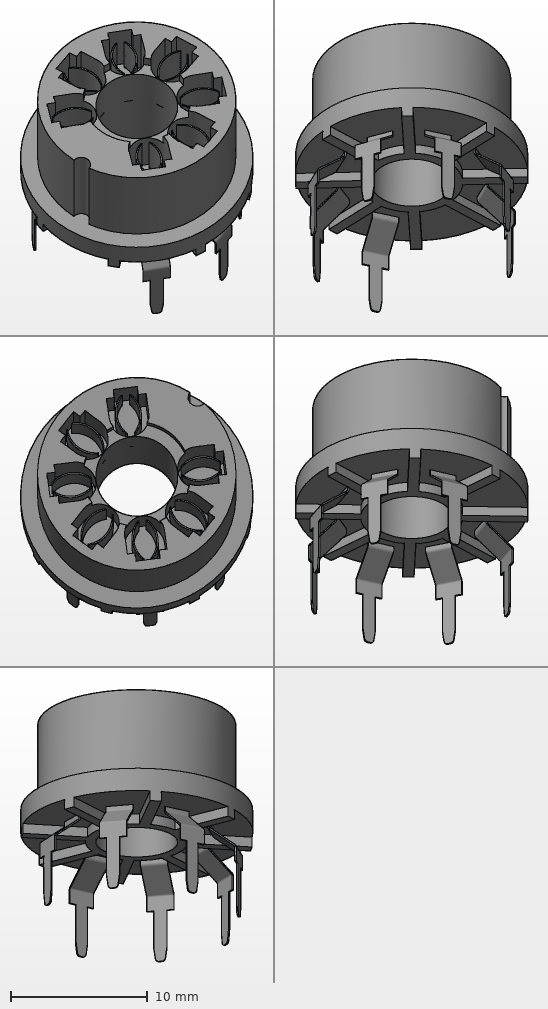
import cadquery as cq
import math


OVERALL_HEIGHT = 15.64
FLANGE_RADIUS = 8.5
FLANGE_HEIGHT = 1.75
BODY_RADIUS = 7.26
BODY_HEIGHT = 6.65
BORE_RADIUS = 3.0
RECESS_RADIUS = 3.93
RECESS_DEPTH = 0.78
KEYWAY_RADIUS = 0.66
TOP_Z = FLANGE_HEIGHT + BODY_HEIGHT

HUB_RADIUS = 3.74
FOOT_HEIGHT = 0.76
TOOTH_WIDTH = 0.83

STATION_COUNT = 8
STATION_PITCH = 360 / STATION_COUNT
STATION_ANGLES = [STATION_PITCH * i for i in range(STATION_COUNT)]
EMPTY_ANGLE = 270
CONTACT_ANGLES = [angle for angle in STATION_ANGLES if angle != EMPTY_ANGLE]

POCKET_DEPTH = 3.93
POCKET_HALF_WIDTH = 1.46
POCKET_ARC_CENTRE = 4.49
POCKET_SHOULDER = 5.9
POCKET_END = 6.51
POCKET_END_HALF_WIDTH = 0.88

SHEET_THICKNESS = 0.12
LEAF_CENTRE = 4.76
LEAF_HALF_LENGTH = 1.45
LEAF_BELLY = 0.95
LEAF_END = 0.37
LEAF_TOP_DEPTH = 0.97

EMBED = 0.51

PIN_ROOT_X = 5.55
PIN_FOOT_X = 7.65
UPPER_BEND_Z = -0.42
LOWER_BEND_Z = -2.09
PIN_SHOULDER_Z = -3.26
PIN_TAPER_Z = -6.2
PIN_TIP_Z = TOP_Z - OVERALL_HEIGHT
PIN_HALF_WIDTH = 1.02
PIN_TAIL_HALF_WIDTH = 0.5
PIN_TIP_HALF_WIDTH = 0.34
PIN_TIP_FILLET = 0.27
INNER_BEND_RADIUS = 0.17
OUTER_BEND_RADIUS = INNER_BEND_RADIUS + SHEET_THICKNESS


def turned(shape, angle):
    return shape.rotate((0, 0, 0), (0, 0, 1), angle)


def cylinder(radius, bottom, height):
    return cq.Workplane("XY").workplane(offset=bottom).circle(radius).extrude(height)


def make_body():
    body = cylinder(FLANGE_RADIUS, 0, FLANGE_HEIGHT)
    body = body.union(cylinder(BODY_RADIUS, 0, TOP_Z))
    keyway = cylinder(KEYWAY_RADIUS, FLANGE_HEIGHT, BODY_HEIGHT).translate((0, -BODY_RADIUS, 0))
    recess = cylinder(RECESS_RADIUS, TOP_Z - RECESS_DEPTH, RECESS_DEPTH)
    return body.cut(keyway).cut(recess)


def make_foot():
    """Hub with straight teeth reaching the flange rim, each midway between two stations."""
    foot = cylinder(HUB_RADIUS, -FOOT_HEIGHT, FOOT_HEIGHT)
    tooth = (
        cq.Workplane("XY")
        .workplane(offset=-FOOT_HEIGHT)
        .center(FLANGE_RADIUS / 2, 0)
        .rect(FLANGE_RADIUS, TOOTH_WIDTH)
        .extrude(FOOT_HEIGHT)
    )
    for angle in STATION_ANGLES:
        foot = foot.union(turned(tooth, angle + STATION_PITCH / 2))
    return foot.intersect(cylinder(FLANGE_RADIUS, -FOOT_HEIGHT, FOOT_HEIGHT))


def make_pocket():
    return (
        cq.Workplane("XY")
        .workplane(offset=TOP_Z - POCKET_DEPTH)
        .moveTo(POCKET_ARC_CENTRE, POCKET_HALF_WIDTH)
        .threePointArc(
            (POCKET_ARC_CENTRE - POCKET_HALF_WIDTH, 0),
            (POCKET_ARC_CENTRE, -POCKET_HALF_WIDTH),
        )
        .lineTo(POCKET_SHOULDER, -POCKET_HALF_WIDTH)
        .lineTo(POCKET_SHOULDER, -POCKET_END_HALF_WIDTH)
        .lineTo(POCKET_END, -POCKET_END_HALF_WIDTH)
        .lineTo(POCKET_END, POCKET_END_HALF_WIDTH)
        .lineTo(POCKET_SHOULDER, POCKET_END_HALF_WIDTH)
        .lineTo(POCKET_SHOULDER, POCKET_HALF_WIDTH)
        .close()
        .extrude(POCKET_DEPTH)
    )


def make_leaves():
    """Two facing arched leaves, rooted in the pocket floor."""
    bottom = TOP_Z - POCKET_DEPTH - EMBED
    start_x = LEAF_CENTRE - LEAF_HALF_LENGTH
    end_x = LEAF_CENTRE + LEAF_HALF_LENGTH
    inner_end = LEAF_END - SHEET_THICKNESS
    leaf = (
        cq.Workplane("XY")
        .workplane(offset=bottom)
        .moveTo(start_x, LEAF_END)
        .threePointArc((LEAF_CENTRE, LEAF_BELLY), (end_x, LEAF_END))
        .lineTo(end_x, inner_end)
        .threePointArc((LEAF_CENTRE, LEAF_BELLY - SHEET_THICKNESS), (start_x, inner_end))
        .close()
        .extrude(TOP_Z - LEAF_TOP_DEPTH - bottom)
    )
    return leaf.union(leaf.mirror("XZ"))


def make_pin():
    """Sheet bent twice, trimmed to a shouldered and tapered pin."""
    half = SHEET_THICKNESS / 2
    slope_angle = math.atan2(PIN_FOOT_X - PIN_ROOT_X, UPPER_BEND_Z - LOWER_BEND_Z)
    mitre = half * math.tan(slope_angle / 2)
    side = [
        (PIN_ROOT_X + half, EMBED),
        (PIN_ROOT_X + half, UPPER_BEND_Z + mitre),
        (PIN_FOOT_X + half, LOWER_BEND_Z + mitre),
        (PIN_FOOT_X + half, PIN_TIP_Z),
        (PIN_FOOT_X - half, PIN_TIP_Z),
        (PIN_FOOT_X - half, LOWER_BEND_Z - mitre),
        (PIN_ROOT_X - half, UPPER_BEND_Z - mitre),
        (PIN_ROOT_X - half, EMBED),
    ]
    sheet = cq.Workplane("XZ").polyline(side).close().extrude(PIN_HALF_WIDTH, both=True)
    inner_bends = (side[1], side[5])
    outer_bends = (side[2], side[6])
    for bends, radius in ((inner_bends, INNER_BEND_RADIUS), (outer_bends, OUTER_BEND_RADIUS)):
        for x, z in bends:
            sheet = sheet.edges(cq.NearestToPointSelector((x, 0, z))).fillet(radius)

    right_edge = [
        (PIN_HALF_WIDTH, EMBED),
        (PIN_HALF_WIDTH, PIN_SHOULDER_Z),
        (PIN_TAIL_HALF_WIDTH, PIN_SHOULDER_Z),
        (PIN_TAIL_HALF_WIDTH, PIN_TAPER_Z),
        (PIN_TIP_HALF_WIDTH, PIN_TIP_Z),
    ]
    left_edge = [(-y, z) for y, z in reversed(right_edge)]
    outline = (
        cq.Workplane("YZ")
        .polyline(right_edge + left_edge)
        .close()
        .extrude(FLANGE_RADIUS)
        .edges("|X and <Z")
        .fillet(PIN_TIP_FILLET)
    )
    return sheet.intersect(outline)


pocket = make_pocket()
contact = make_leaves().union(make_pin())

result = make_body().union(make_foot())
for angle in CONTACT_ANGLES:
    result = result.cut(turned(pocket, angle))
result = result.cut(cylinder(BORE_RADIUS, -FOOT_HEIGHT, TOP_Z + FOOT_HEIGHT))
for angle in CONTACT_ANGLES:
    result = result.union(turned(contact, angle))